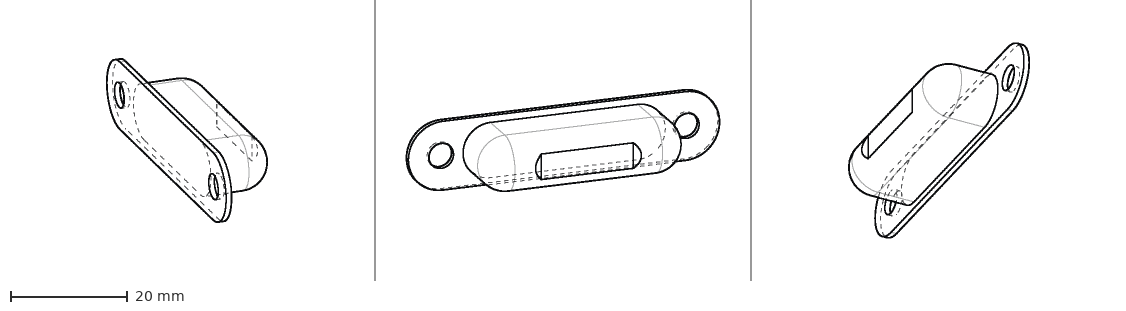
import cadquery as cq

plate_length = 57.0
plate_height = 12.5
plate_thickness = 1.0
hole_diameter = 4.5
hole_spacing = 45.0

housing_length = 37.0
housing_width = 10.0
housing_radius = housing_width / 2
crown_y = 13.0
spring_y = crown_y - housing_radius
core_length = housing_length - housing_width

recess_depth = 0.55
recess_top_length = 19.4
recess_floor_length = 16.8


def stadium(length, width, thickness):
    """Round-ended slab standing in the XZ plane and growing along +Y."""
    return cq.Workplane("XZ").slot2D(length, width).extrude(-thickness)


def make_plate():
    holes = (
        cq.Workplane("XZ")
        .pushPoints([(-hole_spacing / 2, 0), (hole_spacing / 2, 0)])
        .circle(hole_diameter / 2)
        .extrude(-plate_thickness)
    )
    return stadium(plate_length, plate_height, plate_thickness).cut(holes)


def make_housing():
    housing = stadium(housing_length, housing_width, spring_y)
    crown = (
        cq.Workplane("YZ", origin=(-core_length / 2, spring_y, 0))
        .circle(housing_radius)
        .extrude(core_length)
    )
    housing = housing.union(crown)
    for end_x in (-core_length / 2, core_length / 2):
        dome = cq.Workplane("XY", origin=(end_x, spring_y, 0)).sphere(housing_radius)
        housing = housing.union(dome)
    return housing


def make_recess():
    floor_y = crown_y - recess_depth
    return (
        cq.Workplane("XY")
        .moveTo(-recess_top_length / 2, crown_y)
        .lineTo(-recess_floor_length / 2, floor_y)
        .lineTo(recess_floor_length / 2, floor_y)
        .lineTo(recess_top_length / 2, crown_y)
        .close()
        .extrude(housing_radius, both=True)
    )


result = make_plate().union(make_housing().cut(make_recess()))